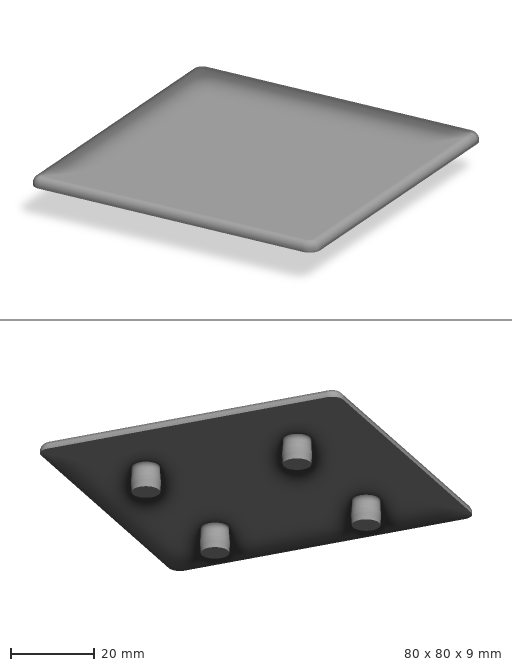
import cadquery as cq

plate_side = 80.0
plate_thickness = 2.5
corner_radius = 3.0
top_edge_radius = 2.0

total_height = 9.0
peg_spacing = 40.0
peg_diameter = 6.9
barrel_diameter = 7.2
neck_end_depth = 4.0
barrel_start_depth = 6.0
barrel_end_depth = 7.0


def make_plate():
    """Square plate with rounded corners and a rounded upper rim."""
    plate = cq.Workplane("XY").box(
        plate_side, plate_side, plate_thickness, centered=(True, True, False)
    )
    plate = plate.edges("|Z").fillet(corner_radius)
    return plate.faces(">Z").edges().fillet(top_edge_radius)


def make_peg():
    """Straight neck that flares to a wider band and tapers back at the tip."""
    neck_radius = peg_diameter / 2
    barrel_radius = barrel_diameter / 2
    root_z = plate_thickness / 4
    tip_z = plate_thickness - total_height
    profile = [
        (0, root_z),
        (neck_radius, root_z),
        (neck_radius, plate_thickness - neck_end_depth),
        (barrel_radius, plate_thickness - barrel_start_depth),
        (barrel_radius, plate_thickness - barrel_end_depth),
        (neck_radius, tip_z),
        (0, tip_z),
    ]
    return cq.Workplane("YZ").polyline(profile).close().revolve(360, (0, 0), (0, 1))


result = make_plate()
peg = make_peg()
for x in (-peg_spacing / 2, peg_spacing / 2):
    for y in (-peg_spacing / 2, peg_spacing / 2):
        result = result.union(peg.translate((x, y, 0)))